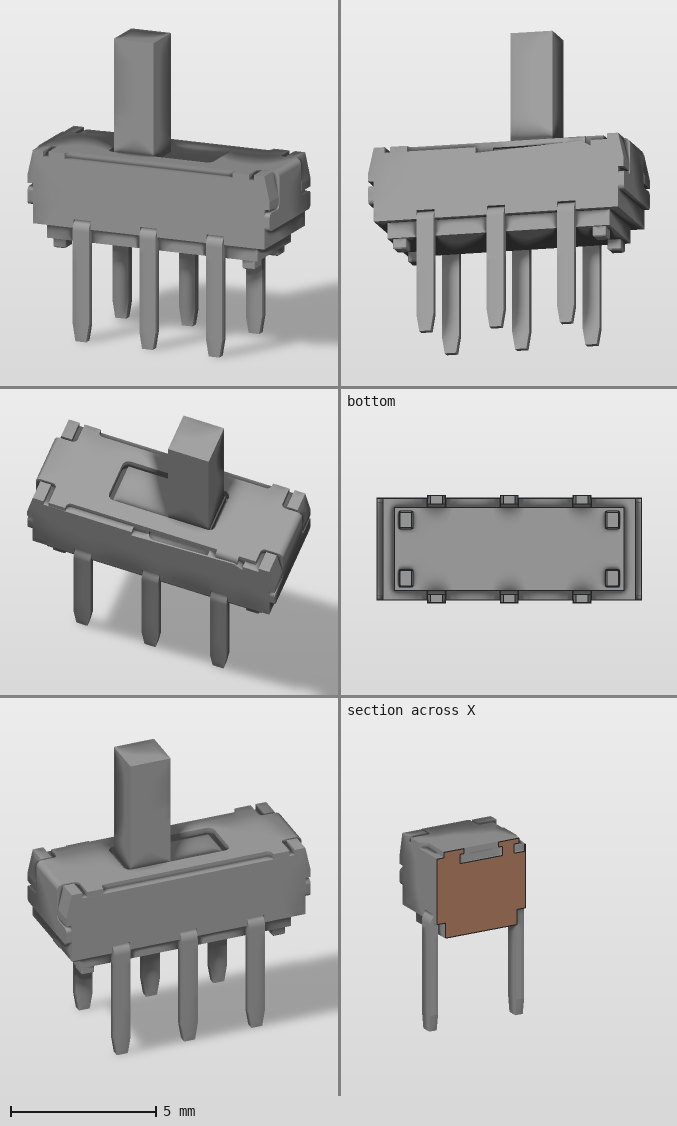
import cadquery as cq

TOTAL_HEIGHT = 10.6
COVER_TOP = 6.6
HOUSING_BOTTOM = 4.0
BASE_BOTTOM = 3.45
PEG_BOTTOM = 3.1

SHEET = 0.2
COVER_BOTTOM = COVER_TOP - SHEET
COVER_LENGTH = 9.1
COVER_WIDTH = 3.49
CORNER_RADIUS = 0.16
NECK_LENGTH = 7.53
NECK_WIDTH = 1.84
FLAP_BOTTOM = 4.64
FLAP_SHOULDER = 5.28
FLAP_CORNER_RADIUS = 0.15
EDGE_NOTCH_LENGTH = 6.32
FRONT_EDGE_Y = -1.47
REAR_EDGE_Y = 1.5
WINDOW_LENGTH = 3.91
WINDOW_WIDTH = 1.72
WINDOW_RADIUS = 0.23

HOUSING_WIDTH = 3.5
HOUSING_LENGTH = COVER_LENGTH - 2 * SHEET
BLOCK_INNER_X = 3.95
BLOCK_INNER_Y = 1.01
BLOCK_BOTTOM = 5.42
BLOCK_TAPER_START = 5.7
PIT_DEPTH = 0.32
PIT_MARGIN = 0.05

RIM_STEP_X = -3.37
RIM_PEAK_X = -3.02
RIM_END_X = 0.72
RIM_DROP = 0.2
POCKET_START_X = -3.15
POCKET_END_X = 0.18
POCKET_REAR_Y = 1.7
POCKET_DEPTH = 0.32
POCKET_RADIUS = 0.28
CLIP_END_X = -2.34
CLIP_REAR_Y = 1.67
CLIP_HOOK_END_X = -2.05
CLIP_HOOK_DROP = 0.11
CLIP_RADIUS = 0.17

SLIDER_LENGTH = 3.58
SLIDER_WIDTH = 1.59
SLIDER_TOP = 6.37
KNOB_SIZE = 1.49
KNOB_X = -1.0

BASE_LENGTH = 7.9
BASE_WIDTH = 2.85
PEG_SPACING_X = 7.1
PEG_SPACING_Y = 2.0
PEG_LENGTH = 0.48
PEG_WIDTH = 0.6
PEG_EDGE_RADIUS = 0.05
PEG_CHAMFER = 0.04

LEAD_SPACING = 2.5
LEAD_WIDTH = 0.6
LEAD_THICKNESS = 0.3
OVERALL_WIDTH = 3.7
LEAD_OUTER_Y = OVERALL_WIDTH / 2
LEAD_TOP = 4.3
LEAD_BEND_RADIUS = 0.38
LEAD_TIP_WIDTH = 0.4
LEAD_TAPER = 0.6
LEAD_SLOT_WIDTH = 0.65
LEAD_OVERLAP = 0.2
LEAD_POSITIONS = (-LEAD_SPACING, 0, LEAD_SPACING)


def block(x0, x1, y0, y1, z0, z1):
    """Box between two opposite corners."""
    return cq.Workplane("XY").box(x1 - x0, y1 - y0, z1 - z0, centered=False).translate((x0, y0, z0))


def centered_block(length, width, z0, z1):
    """Box centred on the Z axis between two heights."""
    return block(-length / 2, length / 2, -width / 2, width / 2, z0, z1)


def on_both_ends(solid):
    """The solid together with its mirror image in X."""
    return solid.union(solid.mirror("YZ"))


def on_all_corners(solid):
    """The solid together with its mirror images in X and Y."""
    half = on_both_ends(solid)
    return half.union(half.mirror("XZ"))


def corner_block():
    """Raised housing corner with a sloping end face."""
    outer_x = COVER_LENGTH / 2
    outline = [
        (BLOCK_INNER_X, BLOCK_BOTTOM),
        (outer_x, BLOCK_BOTTOM),
        (outer_x, BLOCK_TAPER_START),
        (HOUSING_LENGTH / 2, COVER_TOP),
        (BLOCK_INNER_X, COVER_TOP),
    ]
    depth = HOUSING_WIDTH / 2 - BLOCK_INNER_Y
    return cq.Workplane("XZ", origin=(0, HOUSING_WIDTH / 2, 0)).polyline(outline).close().extrude(depth)


def rear_rim_relief():
    """Wedges that lower the rear rim: a steep ramp and a long shallow one."""
    low = COVER_BOTTOM - RIM_DROP
    outline = [
        (RIM_STEP_X, COVER_BOTTOM),
        (RIM_STEP_X, low),
        (RIM_PEAK_X, COVER_BOTTOM),
        (RIM_END_X, low),
        (RIM_END_X, COVER_BOTTOM),
    ]
    depth = HOUSING_WIDTH / 2 - REAR_EDGE_Y
    return cq.Workplane("XZ", origin=(0, HOUSING_WIDTH / 2, 0)).polyline(outline).close().extrude(depth)


def rear_pocket():
    """Pocket inside the rear rim, one end rounded, that takes the cover clip."""
    inner_y = REAR_EDGE_Y - SHEET
    bottom = COVER_BOTTOM - POCKET_DEPTH
    pocket = block(POCKET_START_X, POCKET_END_X, inner_y, POCKET_REAR_Y, bottom, COVER_BOTTOM)
    return pocket.edges("|Z and >X and >Y").fillet(POCKET_RADIUS)


def housing():
    """Housing body with corner blocks, rear rim, slider pit and lead slots."""
    body = centered_block(HOUSING_LENGTH, HOUSING_WIDTH, HOUSING_BOTTOM, COVER_BOTTOM)
    body = body.union(on_all_corners(corner_block()))
    body = body.cut(rear_rim_relief()).cut(rear_pocket())
    pit_length = WINDOW_LENGTH + 2 * PIT_MARGIN
    pit_width = WINDOW_WIDTH + 2 * PIT_MARGIN
    pit = centered_block(pit_length, pit_width, COVER_BOTTOM - PIT_DEPTH, COVER_BOTTOM)
    body = body.cut(pit.edges("|Z").fillet(WINDOW_RADIUS))
    for x in LEAD_POSITIONS:
        slot = centered_block(LEAD_SLOT_WIDTH, HOUSING_WIDTH, HOUSING_BOTTOM, LEAD_TOP)
        slot = slot.cut(centered_block(LEAD_SLOT_WIDTH, BASE_WIDTH, HOUSING_BOTTOM, LEAD_TOP))
        body = body.cut(slot.translate((x, 0, 0)))
    return body


def cover_corner_cutout():
    """Clearance for one housing corner block, rounded where plate and flap meet the neck."""
    cut = block(NECK_LENGTH / 2, COVER_LENGTH / 2, NECK_WIDTH / 2, COVER_WIDTH / 2, FLAP_SHOULDER, COVER_TOP)
    cut = cut.edges("|Z and <X and <Y").fillet(CORNER_RADIUS)
    return cut.edges("|X and <Y and <Z").fillet(CORNER_RADIUS)


def cover():
    """Bent sheet: top plate with an end flap folded down at each end."""
    shell = centered_block(COVER_LENGTH, COVER_WIDTH, FLAP_SHOULDER, COVER_TOP)
    shell = shell.edges("|Y and >Z").fillet(SHEET)
    shell = shell.cut(centered_block(HOUSING_LENGTH, COVER_WIDTH, FLAP_SHOULDER, COVER_BOTTOM))
    shell = shell.cut(on_all_corners(cover_corner_cutout()))
    flaps = centered_block(COVER_LENGTH, COVER_WIDTH, FLAP_BOTTOM, FLAP_SHOULDER)
    flaps = flaps.edges("|X").fillet(FLAP_CORNER_RADIUS)
    flaps = flaps.cut(centered_block(HOUSING_LENGTH, COVER_WIDTH, FLAP_BOTTOM, FLAP_SHOULDER))
    shell = shell.union(flaps)

    notch_end = EDGE_NOTCH_LENGTH / 2
    front = block(-notch_end, notch_end, -COVER_WIDTH / 2, FRONT_EDGE_Y, COVER_BOTTOM, COVER_TOP)
    rear = block(-NECK_LENGTH / 2, notch_end, REAR_EDGE_Y, COVER_WIDTH / 2, COVER_BOTTOM, COVER_TOP)
    shell = shell.cut(front.edges("|Z and >Y").fillet(CORNER_RADIUS))
    shell = shell.cut(rear.edges("|Z and >X and <Y").fillet(CORNER_RADIUS))

    window = centered_block(WINDOW_LENGTH, WINDOW_WIDTH, COVER_BOTTOM, COVER_TOP)
    return shell.cut(window.edges("|Z").fillet(WINDOW_RADIUS)).union(rear_clip())


def rear_clip():
    """Tongue of the cover folded down into the rear pocket, with a hook at one side."""
    inner_y = REAR_EDGE_Y - SHEET
    bottom = COVER_BOTTOM - POCKET_DEPTH
    tongue = block(POCKET_START_X, CLIP_END_X, inner_y, CLIP_REAR_Y, bottom, COVER_TOP)
    tongue = tongue.edges("|X and >Y and >Z").fillet(CLIP_RADIUS)
    hook_top = COVER_BOTTOM - CLIP_HOOK_DROP
    return tongue.union(block(CLIP_END_X, CLIP_HOOK_END_X, inner_y, CLIP_REAR_Y, bottom, hook_top))


def slider():
    """Slider plate standing on the pit floor, with its upright knob."""
    plate = centered_block(SLIDER_LENGTH, SLIDER_WIDTH, COVER_BOTTOM - PIT_DEPTH, SLIDER_TOP)
    knob = centered_block(KNOB_SIZE, KNOB_SIZE, SLIDER_TOP, TOTAL_HEIGHT)
    return plate.union(knob.translate((KNOB_X, 0, 0)))


def base():
    """Base plate with four locating pegs."""
    plate = centered_block(BASE_LENGTH, BASE_WIDTH, BASE_BOTTOM, HOUSING_BOTTOM)
    peg = centered_block(PEG_LENGTH, PEG_WIDTH, PEG_BOTTOM, BASE_BOTTOM)
    peg = peg.edges("|Z").fillet(PEG_EDGE_RADIUS).faces("<Z").chamfer(PEG_CHAMFER)
    return plate.union(on_all_corners(peg.translate((PEG_SPACING_X / 2, PEG_SPACING_Y / 2, 0))))


def lead():
    """Rear lead at X = 0: leaves the housing, bends down and tapers to its tip."""
    half_width = LEAD_WIDTH / 2
    strip = block(-half_width, half_width, BASE_WIDTH / 2 - LEAD_OVERLAP, LEAD_OUTER_Y, 0, LEAD_TOP)
    strip = strip.edges("|X and >Y and >Z").fillet(LEAD_BEND_RADIUS)
    inside = block(-half_width, half_width, 0, LEAD_OUTER_Y - LEAD_THICKNESS, 0, LEAD_TOP - LEAD_THICKNESS)
    strip = strip.cut(inside.edges("|X and >Y and >Z").fillet(LEAD_BEND_RADIUS - LEAD_THICKNESS))
    outline = [
        (-LEAD_TIP_WIDTH / 2, 0),
        (LEAD_TIP_WIDTH / 2, 0),
        (half_width, LEAD_TAPER),
        (half_width, LEAD_TOP),
        (-half_width, LEAD_TOP),
        (-half_width, LEAD_TAPER),
    ]
    tapered_face = cq.Workplane("XZ").polyline(outline).close().extrude(-LEAD_OUTER_Y)
    return strip.intersect(tapered_face)


result = housing().union(cover()).union(slider()).union(base())
for lead_x in LEAD_POSITIONS:
    rear_lead = lead().translate((lead_x, 0, 0))
    result = result.union(rear_lead).union(rear_lead.mirror("XZ"))